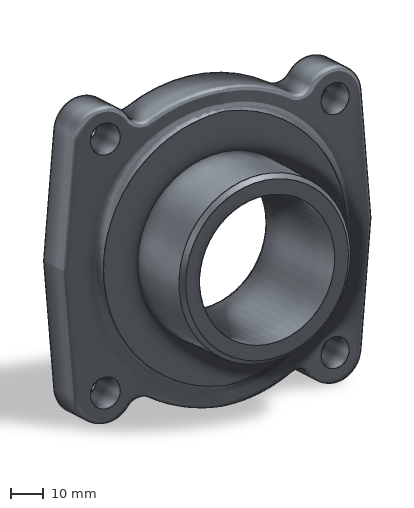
import cadquery as cq
import math

flange_width = 108.0
flange_height = 101.6
hub_radius = flange_height / 2
bolt_offset = 40.4
bolt_hole_diameter = 10.1
lug_radius = 10.0
valley_radius = 5.7

ridge_thickness = 16.0
face_slope_angle = 3.0
flange_edge_fillet = 1.5

disc_radius = 42.7
disc_top = 16.8
disc_root_fillet = 3.0

total_length = 42.0
spigot_root_radius = 30.8
spigot_tip_radius = 30.1
spigot_chamfer = 1.5
bore_radius = 23.7
bore_chamfer = 0.8

tolerance = 0.01


def polar(center, radius, angle):
    """Point at an angle on a circle in the YZ plane."""
    return (center[0] + radius * math.cos(angle), center[1] + radius * math.sin(angle))


def mirror_y(point):
    return (-point[0], point[1])


def mirror_z(point):
    return (point[0], -point[1])


def flip(point):
    return (-point[0], -point[1])


def flange_outline():
    """Closed outline: pointed sides, four bolt lugs, round top and bottom."""
    lug = (bolt_offset, bolt_offset)
    side = (flange_width / 2, 0)

    side_distance = math.dist(lug, side)
    lug_bearing = math.atan2(lug[1] - side[1], lug[0] - side[0])
    side_angle = lug_bearing - math.pi + math.acos(lug_radius / side_distance)

    lug_distance = math.hypot(*lug)
    valley_distance = hub_radius + valley_radius
    valley_to_lug = lug_radius + valley_radius
    spread = math.acos(
        (valley_distance**2 + lug_distance**2 - valley_to_lug**2)
        / (2 * valley_distance * lug_distance)
    )
    hub_angle = math.atan2(lug[1], lug[0]) + spread
    valley = polar((0, 0), valley_distance, hub_angle)
    valley_angle = math.atan2(valley[1] - lug[1], valley[0] - lug[0])

    lug_start = polar(lug, lug_radius, side_angle)
    lug_mid = polar(lug, lug_radius, (side_angle + valley_angle) / 2)
    lug_end = polar(lug, lug_radius, valley_angle)
    valley_mid = polar(valley, valley_radius, (valley_angle + hub_angle) / 2 + math.pi)
    valley_end = polar((0, 0), hub_radius, hub_angle)
    hub_top = (0, hub_radius)

    def unchanged(point):
        return point

    outline = cq.Workplane("YZ").moveTo(*side)
    for first, second in ((unchanged, mirror_y), (flip, mirror_z)):
        outline = (
            outline.lineTo(*first(lug_start))
            .threePointArc(first(lug_mid), first(lug_end))
            .threePointArc(first(valley_mid), first(valley_end))
            .threePointArc(first(hub_top), second(valley_end))
            .threePointArc(second(valley_mid), second(lug_end))
            .threePointArc(second(lug_mid), second(lug_start))
            .lineTo(*second(side))
        )
    return outline.close()


def make_flange():
    """Flange plate with a shallow ridged face and rounded front edge."""
    half_width = flange_width / 2
    side_thickness = ridge_thickness - half_width * math.tan(math.radians(face_slope_angle))
    ridged_block = (
        cq.Workplane("XY")
        .polyline(
            [
                (0, -half_width),
                (side_thickness, -half_width),
                (ridge_thickness, 0),
                (side_thickness, half_width),
                (0, half_width),
            ]
        )
        .close()
        .extrude(flange_height, both=True)
    )
    plate = flange_outline().extrude(ridge_thickness).intersect(ridged_block)
    front_zone = cq.selectors.BoxSelector(
        (side_thickness - tolerance, -flange_width, -flange_height),
        (ridge_thickness + tolerance, flange_width, flange_height),
    )
    front_edges = plate.edges(front_zone).vals()
    rim = [edge for edge in front_edges if math.hypot(edge.Center().y, edge.Center().z) > lug_radius]
    return plate.newObject(rim).fillet(flange_edge_fillet)


def add_disc(body):
    """Raised disc blended into the ridged face and trimmed flat."""
    overheight = 2 * disc_root_fillet
    disc = cq.Workplane("YZ").circle(disc_radius).extrude(disc_top + overheight)
    body = body.union(disc)

    def on_disc_wall(vertex):
        return abs(math.hypot(vertex.Y, vertex.Z) - disc_radius) < tolerance

    roots = [
        edge
        for edge in body.edges().vals()
        if edge.Center().x < disc_top and all(on_disc_wall(vertex) for vertex in edge.Vertices())
    ]
    body = body.newObject(roots).fillet(disc_root_fillet)
    trim = cq.Workplane("YZ", origin=(disc_top, 0, 0)).circle(flange_width).extrude(2 * overheight)
    return body.cut(trim)


def make_spigot():
    """Tapered spigot with a chamfered tip."""
    return (
        cq.Workplane("XY")
        .lineTo(0, spigot_root_radius)
        .lineTo(disc_top, spigot_root_radius)
        .lineTo(total_length - spigot_chamfer, spigot_tip_radius)
        .lineTo(total_length, spigot_tip_radius - spigot_chamfer)
        .lineTo(total_length, 0)
        .close()
        .revolve(360, (0, 0, 0), (1, 0, 0))
    )


def make_bore():
    """Through bore with a chamfer at the flange back face."""
    return (
        cq.Workplane("XY")
        .lineTo(0, bore_radius + bore_chamfer)
        .lineTo(bore_chamfer, bore_radius)
        .lineTo(total_length, bore_radius)
        .lineTo(total_length, 0)
        .close()
        .revolve(360, (0, 0, 0), (1, 0, 0))
    )


bolt_holes = (
    cq.Workplane("YZ")
    .rect(2 * bolt_offset, 2 * bolt_offset, forConstruction=True)
    .vertices()
    .circle(bolt_hole_diameter / 2)
    .extrude(total_length)
)

result = add_disc(make_flange()).union(make_spigot()).cut(make_bore()).cut(bolt_holes)